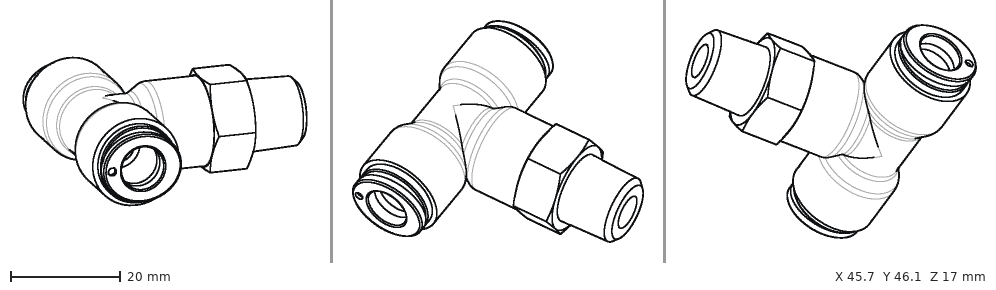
import cadquery as cq
import math


overall_x = 45.7
overall_y = 46.1

body_dia = 16.7
waist_dia = 13.0
waist_end = 5.2
waist_arc_length = 0.9
shoulder_arc_length = 1.1
cone_angle = math.radians(32)
arm_end = 18.75
passage_dia = 6.0
tube_dia = 8.2

collar_dia = 14.7
collar_length = 1.75
collar_chamfer = 0.28

ring_head_width = 15.05
ring_head_height = 13.0
ring_head_thickness = 1.65
ring_neck_dia = 9.6
ring_length = 2.5
ring_chamfer = 0.3
bore_chamfer = 0.28
mark_dia = 1.5
mark_offset = 5.95
mark_depth = 0.7

hex_across_flats = 17.0
hex_length = 8.0
hex_chamfer = 0.45
thread_base_dia = 13.45
thread_taper = 1 / 16
thread_chamfer = 1.0
stud_bore_dia = 6.4

waist_radius = waist_dia / 2
body_radius = body_dia / 2
arc_slope = math.tan(cone_angle / 2)
cone_start = waist_end + waist_arc_length
cone_start_radius = waist_radius + waist_arc_length * arc_slope
cone_end_radius = body_radius - shoulder_arc_length * arc_slope
cone_end = cone_start + (cone_end_radius - cone_start_radius) / math.tan(cone_angle)
shoulder_start = cone_end + shoulder_arc_length

tube_stop = shoulder_start
collar_face = arm_end + collar_length
ring_face = overall_x / 2
ring_inner_end = ring_face - ring_length
hex_end = arm_end + hex_length
stud_end = overall_y - body_radius


def cylinder(diameter, start, end):
    """Cylinder on the X axis."""
    return cq.Workplane("YZ", origin=(start, 0, 0)).circle(diameter / 2).extrude(end - start)


def revolve_about_x(outline):
    """Solid of revolution from an outline in the XY plane."""
    return outline.close().revolve(360, (0, 0), (1, 0))


def onto_y(shape):
    """Turn a shape from the +X axis onto the +Y axis."""
    return shape.rotate((0, 0, 0), (0, 0, 1), 90)


def onto_minus_x(shape):
    """Mirror a shape from the +X side to the -X side."""
    return shape.mirror("YZ")


def make_arm():
    """Outside of one arm: waist, cone and full diameter, with tangent arcs at both cone ends."""
    outline = (
        cq.Workplane("XY")
        .lineTo(0, waist_radius)
        .lineTo(waist_end, waist_radius)
        .tangentArcPoint((cone_start, cone_start_radius), relative=False)
        .lineTo(cone_end, cone_end_radius)
        .tangentArcPoint((shoulder_start, body_radius), relative=False)
        .lineTo(arm_end, body_radius)
        .lineTo(arm_end, 0)
    )
    return revolve_about_x(outline)


def make_tee_body():
    """Three equal arms with a common passage, and a tube socket in each side arm."""
    arm = make_arm()
    socket = cylinder(tube_dia, tube_stop, arm_end)
    passage = cylinder(passage_dia, -arm_end, arm_end)
    branch_passage = onto_y(cylinder(passage_dia, 0, arm_end))
    body = arm.union(onto_minus_x(arm)).union(onto_y(arm))
    return body.cut(passage).cut(branch_passage).cut(socket).cut(onto_minus_x(socket))


def make_collar():
    """Chamfered collar on the arm end, with a recess for the neck of the release ring."""
    collar = cylinder(collar_dia, arm_end, collar_face).edges(">X").chamfer(collar_chamfer)
    recess = cylinder(ring_neck_dia, ring_inner_end, collar_face)
    return collar.cut(cylinder(tube_dia, arm_end, collar_face)).cut(recess)


def make_release_ring():
    """Elliptic head on a short neck, with a mark hole."""
    head_back = ring_face - ring_head_thickness
    head = (
        cq.Workplane("YZ", origin=(head_back, 0, 0))
        .ellipse(ring_head_width / 2, ring_head_height / 2)
        .extrude(ring_head_thickness)
    )
    head = head.faces(">X").edges().chamfer(ring_chamfer)

    ring = head.union(cylinder(ring_neck_dia, ring_inner_end, head_back))
    ring = ring.cut(cylinder(tube_dia, ring_inner_end, ring_face))
    ring = ring.faces(">X").edges("%CIRCLE").chamfer(bore_chamfer)
    mark = cylinder(mark_dia, ring_face - mark_depth, ring_face).translate((0, -mark_offset, 0))
    return ring.cut(mark)


def make_stud():
    """Hexagon with chamfered corners and a tapered thread blank, bored through."""
    hex_across_corners = hex_across_flats / math.cos(math.pi / 6)
    hexagon = (
        cq.Workplane("YZ", origin=(arm_end, 0, 0))
        .polygon(6, hex_across_corners)
        .extrude(hex_length)
    )
    flat_radius = hex_across_flats / 2
    corner_radius = hex_across_corners / 2
    corner_chamfers = revolve_about_x(
        cq.Workplane("XY")
        .moveTo(arm_end, 0)
        .lineTo(arm_end, flat_radius)
        .lineTo(arm_end + hex_chamfer, corner_radius)
        .lineTo(hex_end - hex_chamfer, corner_radius)
        .lineTo(hex_end, flat_radius)
        .lineTo(hex_end, 0)
    )
    thread_length = stud_end - hex_end
    thread_base_radius = thread_base_dia / 2
    thread_tip_radius = thread_base_radius - (thread_length - thread_chamfer) * thread_taper / 2
    thread = revolve_about_x(
        cq.Workplane("XY")
        .moveTo(hex_end, 0)
        .lineTo(hex_end, thread_base_radius)
        .lineTo(stud_end - thread_chamfer, thread_tip_radius)
        .lineTo(stud_end, thread_tip_radius - thread_chamfer)
        .lineTo(stud_end, 0)
    )
    bore = cylinder(stud_bore_dia, arm_end, stud_end)
    return onto_y(hexagon.intersect(corner_chamfers).union(thread).cut(bore))


tee_body = make_tee_body()
stud = make_stud()
right_collar = make_collar()
right_ring = make_release_ring()

bodies = [tee_body.val(), stud.val()]
for right_piece in (right_collar, right_ring):
    bodies.append(right_piece.val())
    bodies.append(onto_minus_x(right_piece).val())

result = cq.Compound.makeCompound(bodies)